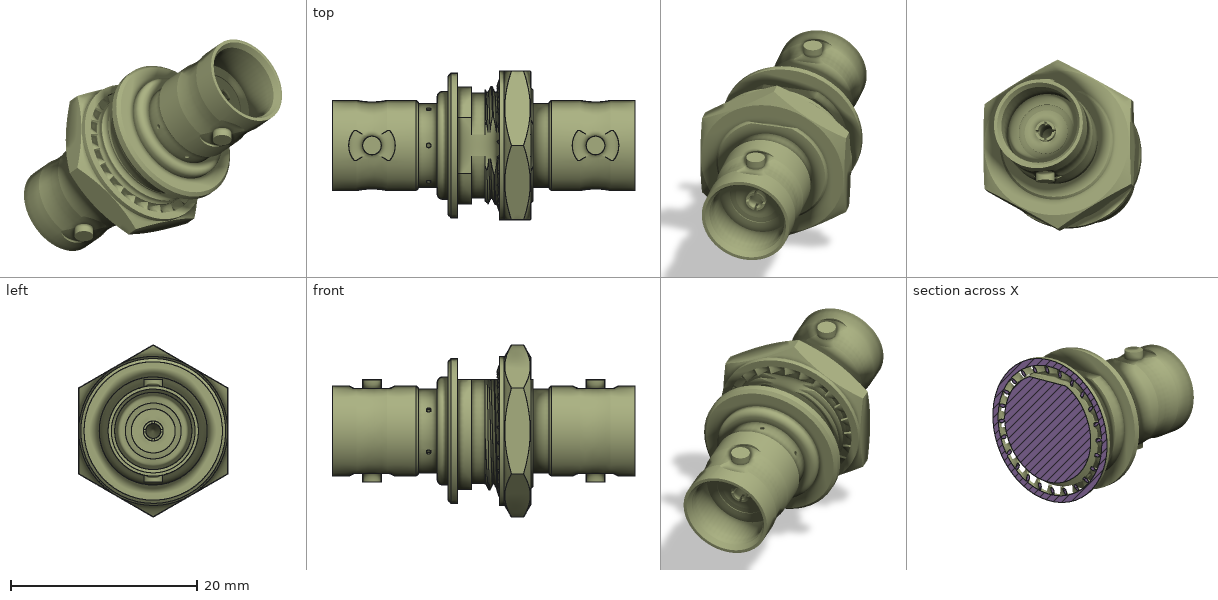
import cadquery as cq
import math


LENGTH = 32.5
BARREL_RADIUS = 4.85
BARREL_LENGTH = 9.25
BARREL_BACK_CHAMFER = 0.25
NECK_RADIUS = 4.52

PIN_X = 4.25
PIN_RADIUS = 1.0
PIN_TIP_HEIGHT = 5.5
WAIST_LENGTH = 3.32
WAIST_RADIUS = 4.67
SPOT_RADIUS = 2.5
SPOT_HEIGHT = 4.58

BORE_RADIUS = 4.15
BORE_DEPTH = 4.85
MOUTH_RADIUS = 4.5
MOUTH_DEPTH = 0.6
GROOVE_OUTER_RADIUS = 3.0
GROOVE_INNER_RADIUS = 2.36
GROOVE_DEPTH = 0.1
CONTACT_RADIUS = 1.07
CONTACT_BORE_RADIUS = 0.8
CONTACT_HEIGHT = 0.7
CONTACT_BORE_DEPTH = 3.0
CONTACT_DRILL_TIP = 1.0
CONTACT_SLOT_WIDTH = 0.27
CONTACT_SLOT_DEPTH = 1.0

DIMPLE_X = 10.33
DIMPLE_RADIUS = 0.25
DIMPLE_DEPTH = 0.3
DIMPLE_COUNT = 6

SHOULDER_START = 11.25
SHOULDER_RADIUS = 5.8
SHOULDER_FILLET = 0.6
FLANGE_START = 12.4
FLANGE_END = 13.45
FLANGE_RADIUS = 7.78
FLANGE_CHAMFER = 0.35
RING_END = 14.95
RING_RADIUS = 6.3
LAND_RADIUS = 5.65
FLAT_HEIGHT = 5.53
THREAD_START = 16.4
THREAD_END = 21.55
THREAD_RADIUS = 6.35
THREAD_PITCH = 25.4 / 28
THREAD_CREST_WIDTH = 0.1
THREAD_ROOT_RADIUS = 5.72
THREAD_ROOT_WIDTH = 0.8
THREAD_ROOT_SINK = 0.1
ENGAGED_RADIUS = 6.4
THREAD_CREST_PHASE = 0.68
THREAD_END_CHAMFER = 0.45

WASHER_START = 17.92
WASHER_RADIUS = 8.0
WASHER_INNER_RADIUS = 7.2
TOOTH_COUNT = 24
TOOTH_TIP_RADIUS = 6.4
TOOTH_WIDTH = 1.3
TOOTH_THICKNESS = 0.25
TOOTH_TWIST = 40
TOOTH_ROOT_OVERLAP = 0.3

NUT_START = 18.45
NUT_END = 21.3
NUT_ACROSS_FLATS = 16.0
NUT_CORNER_RADIUS = NUT_ACROSS_FLATS / math.sqrt(3)
NUT_FACE_RADIUS = 7.9
NUT_CHAMFER_ANGLE = 30
NUT_BORE_RADIUS = 5.65


def cylinder(start, end, radius):
    """Solid cylinder on the X axis between two X positions."""
    return cq.Workplane("YZ").workplane(offset=start).circle(radius).extrude(end - start)


def revolved(points):
    """Revolve a closed outline of (x, radius) points about the X axis."""
    return cq.Workplane("XY").polyline(points).close().revolve(360, (0, 0, 0), (1, 0, 0))


def vertical_cylinder(radius, bottom, top):
    """Cylinder parallel to Z through the bayonet pin position."""
    return cq.Workplane("XY", origin=(PIN_X, 0, bottom)).circle(radius).extrude(top - bottom)


def make_barrel():
    """First barrel, from its open end to the neck, with pins and interior."""
    waist_start = PIN_X - WAIST_LENGTH / 2
    waist_end = PIN_X + WAIST_LENGTH / 2
    barrel = (
        cq.Workplane("XY")
        .lineTo(0, BARREL_RADIUS)
        .lineTo(waist_start, BARREL_RADIUS)
        .threePointArc((PIN_X, WAIST_RADIUS), (waist_end, BARREL_RADIUS))
        .lineTo(BARREL_LENGTH - BARREL_BACK_CHAMFER, BARREL_RADIUS)
        .lineTo(BARREL_LENGTH, BARREL_RADIUS - BARREL_BACK_CHAMFER)
        .lineTo(BARREL_LENGTH, 0)
        .close()
        .revolve(360, (0, 0, 0), (1, 0, 0))
    )
    pin_foot = (BORE_RADIUS + SPOT_HEIGHT) / 2
    pin = vertical_cylinder(PIN_RADIUS, pin_foot, PIN_TIP_HEIGHT)
    spot = vertical_cylinder(SPOT_RADIUS, SPOT_HEIGHT, PIN_TIP_HEIGHT)
    for turn in (0, 180):
        barrel = barrel.cut(spot.rotate((0, 0, 0), (1, 0, 0), turn))
        barrel = barrel.union(pin.rotate((0, 0, 0), (1, 0, 0), turn))
    bore = revolved([
        (0, 0),
        (0, MOUTH_RADIUS),
        (MOUTH_DEPTH, BORE_RADIUS),
        (BORE_DEPTH, BORE_RADIUS),
        (BORE_DEPTH, 0),
    ])
    contact = cylinder(BORE_DEPTH - CONTACT_HEIGHT, BORE_DEPTH, CONTACT_RADIUS)
    barrel = barrel.cut(bore).cut(make_floor_groove()).union(contact)
    return barrel.cut(make_contact_bore()).cut(make_contact_slots())


def make_floor_groove():
    """Ring groove in the insulator at the floor of the bore."""
    bottom = BORE_DEPTH + GROOVE_DEPTH
    groove = cylinder(BORE_DEPTH, bottom, GROOVE_OUTER_RADIUS)
    return groove.cut(cylinder(BORE_DEPTH, bottom, GROOVE_INNER_RADIUS))


def make_contact_slots():
    """Crossed slots that split the centre contact into four spring fingers."""
    front = BORE_DEPTH - CONTACT_HEIGHT
    size = (CONTACT_SLOT_DEPTH, 2 * CONTACT_RADIUS, CONTACT_SLOT_WIDTH)
    slot = cq.Workplane("XY").box(*size).translate((front + CONTACT_SLOT_DEPTH / 2, 0, 0))
    crossed = slot.union(slot.rotate((0, 0, 0), (1, 0, 0), 90))
    return crossed.intersect(cylinder(front, front + CONTACT_SLOT_DEPTH, CONTACT_RADIUS))


def make_contact_bore():
    """Blind drilled hole of the centre contact, with a conical bottom."""
    front = BORE_DEPTH - CONTACT_HEIGHT
    bottom = front + CONTACT_BORE_DEPTH
    return revolved([
        (front, 0),
        (front, CONTACT_BORE_RADIUS),
        (bottom, CONTACT_BORE_RADIUS),
        (bottom + CONTACT_DRILL_TIP, 0),
    ])


def make_dimples():
    """Small radial holes around the first neck."""
    dimple = (
        cq.Workplane("XY", origin=(DIMPLE_X, 0, NECK_RADIUS - DIMPLE_DEPTH))
        .circle(DIMPLE_RADIUS)
        .extrude(2 * DIMPLE_DEPTH)
    )
    dimples = cq.Workplane("XY")
    for index in range(DIMPLE_COUNT):
        angle = index * 360 / DIMPLE_COUNT
        dimples = dimples.add(dimple.rotate((0, 0, 0), (1, 0, 0), angle))
    return dimples.combine()


def make_above_flat():
    """Block of space above the flat that runs along the ring, land and thread."""
    return cq.Workplane("XY").box(
        THREAD_END - FLANGE_END, 2 * RING_RADIUS, RING_RADIUS, centered=(False, True, False)
    ).translate((FLANGE_END, 0, FLAT_HEIGHT))


def make_thread():
    """Thread with a right-hand helical ridge up to the nut, solid where the nut engages it."""
    lead_in = 2 * THREAD_PITCH
    helix_start = THREAD_START + THREAD_CREST_PHASE - lead_in
    helix_length = NUT_START + THREAD_PITCH / 2 - helix_start
    base_radius = THREAD_ROOT_RADIUS - THREAD_ROOT_SINK
    helix = cq.Wire.makeHelix(THREAD_PITCH, helix_length, base_radius)
    ridge = (
        cq.Workplane("XZ")
        .polyline([
            (base_radius, -THREAD_ROOT_WIDTH / 2),
            (THREAD_RADIUS, -THREAD_CREST_WIDTH / 2),
            (THREAD_RADIUS, THREAD_CREST_WIDTH / 2),
            (base_radius, THREAD_ROOT_WIDTH / 2),
        ])
        .close()
        .sweep(cq.Workplane(obj=helix), isFrenet=True)
    )
    ridge = ridge.rotate((0, 0, 0), (1, 1, 1), 120).translate((helix_start, 0, 0))
    envelope = cylinder(THREAD_START, NUT_END, ENGAGED_RADIUS)
    envelope = envelope.faces("<X").edges().chamfer(THREAD_END_CHAMFER).cut(make_above_flat())
    engaged = cylinder(NUT_START, THREAD_END, ENGAGED_RADIUS)
    engaged = engaged.faces(">X").edges().chamfer(THREAD_END_CHAMFER)
    core = cylinder(THREAD_START, NUT_START, THREAD_ROOT_RADIUS).union(engaged)
    core = core.cut(make_above_flat())
    return core.union(ridge.intersect(envelope, clean=False))


def make_body():
    """Shoulder, flange, keyed ring, land, thread and necks."""
    shoulder = cylinder(SHOULDER_START, FLANGE_START, SHOULDER_RADIUS)
    shoulder = shoulder.faces("<X").edges().fillet(SHOULDER_FILLET)
    flange = cylinder(FLANGE_START, FLANGE_END, FLANGE_RADIUS)
    flange = flange.faces("<X").edges().chamfer(FLANGE_CHAMFER)
    keyed = cylinder(FLANGE_END, RING_END, RING_RADIUS)
    keyed = keyed.union(cylinder(RING_END, THREAD_START, LAND_RADIUS))
    keyed = keyed.cut(make_above_flat()).union(make_thread())
    necks = cylinder(BARREL_LENGTH, LENGTH - BARREL_LENGTH, NECK_RADIUS)
    return necks.cut(make_dimples()).union(shoulder).union(flange).union(keyed)


def make_washer():
    """Lock washer with twisted internal teeth."""
    washer = cylinder(WASHER_START, NUT_START, WASHER_RADIUS)
    washer = washer.cut(cylinder(WASHER_START, NUT_START, WASHER_INNER_RADIUS))
    tooth_length = WASHER_INNER_RADIUS - TOOTH_TIP_RADIUS + TOOTH_ROOT_OVERLAP
    middle = (WASHER_START + NUT_START) / 2
    tooth = (
        cq.Workplane("XY", origin=(middle, 0, TOOTH_TIP_RADIUS + tooth_length))
        .rect(TOOTH_THICKNESS, TOOTH_WIDTH)
        .workplane(offset=-tooth_length)
        .transformed(rotate=(0, 0, TOOTH_TWIST))
        .rect(TOOTH_THICKNESS, TOOTH_WIDTH)
        .loft(ruled=True)
    )
    teeth = cq.Workplane("XY")
    for index in range(TOOTH_COUNT):
        teeth = teeth.add(tooth.rotate((0, 0, 0), (1, 0, 0), index * 360 / TOOTH_COUNT))
    return washer.union(teeth)


def make_nut():
    """Hexagon nut with flats facing +/-Y and conical chamfers on both faces."""
    thickness = NUT_END - NUT_START
    hexagon = (
        cq.Workplane("YZ")
        .workplane(offset=NUT_START)
        .polygon(6, 2 * NUT_CORNER_RADIUS)
        .extrude(thickness)
        .rotate((0, 0, 0), (1, 0, 0), 90)
    )
    chamfer_length = (NUT_CORNER_RADIUS - NUT_FACE_RADIUS) * math.tan(math.radians(NUT_CHAMFER_ANGLE))
    envelope = revolved([
        (NUT_START, 0),
        (NUT_START, NUT_FACE_RADIUS),
        (NUT_START + chamfer_length, NUT_CORNER_RADIUS),
        (NUT_END - chamfer_length, NUT_CORNER_RADIUS),
        (NUT_END, NUT_FACE_RADIUS),
        (NUT_END, 0),
    ])
    return hexagon.intersect(envelope).cut(cylinder(NUT_START, NUT_END, NUT_BORE_RADIUS))


barrel = make_barrel()
opposite_barrel = barrel.mirror("YZ", (LENGTH / 2, 0, 0))
attached = make_nut().add(make_washer()).add(barrel).add(opposite_barrel)

result = make_body().union(attached)